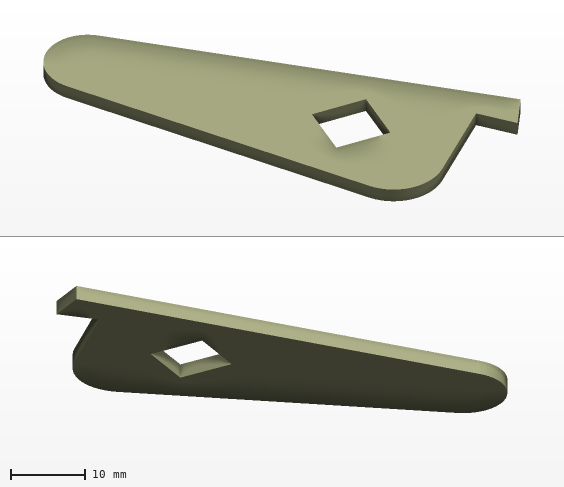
import cadquery as cq
import math

thickness = 2.0
length = 65.0
depth = 24.95
square_side = 8.0

nose_radius = 6.0
nose_left = -44.0
nose_x = nose_left + nose_radius

tip_x = 19.55
tip_y = 13.0
hook_end_x = nose_left + length
hook_under_y = 8.0

side_x = 15.0
corner_radius = 7.0
corner_x = side_x - corner_radius
corner_y = tip_y - depth + corner_radius


def arc_point(center_x, center_y, radius, angle):
    """Point on a circle at an angle in radians, counterclockwise from +X."""
    return (center_x + radius * math.cos(angle), center_y + radius * math.sin(angle))


tip_distance = math.hypot(tip_x - nose_x, tip_y)
upper_slope = math.atan2(tip_y, tip_x - nose_x) - math.asin(nose_radius / tip_distance)
upper_normal = upper_slope + math.pi / 2

center_distance = math.hypot(corner_x - nose_x, corner_y)
lower_slope = math.atan2(corner_y, corner_x - nose_x) - math.asin(
    (corner_radius - nose_radius) / center_distance
)
lower_normal = lower_slope - math.pi / 2

plate = (
    cq.Workplane("XY")
    .moveTo(tip_x, tip_y)
    .lineTo(*arc_point(nose_x, 0, nose_radius, upper_normal))
    .threePointArc(
        (nose_left, 0),
        arc_point(nose_x, 0, nose_radius, lower_normal),
    )
    .lineTo(*arc_point(corner_x, corner_y, corner_radius, lower_normal))
    .threePointArc(
        arc_point(corner_x, corner_y, corner_radius, lower_normal / 2),
        (side_x, corner_y),
    )
    .lineTo(side_x, hook_under_y)
    .lineTo(hook_end_x, hook_under_y)
    .close()
    .extrude(thickness)
)

square_hole = (
    cq.Workplane("XY")
    .rect(square_side, square_side)
    .extrude(thickness)
    .rotate((0, 0, 0), (0, 0, 1), 45)
)

result = plate.cut(square_hole)